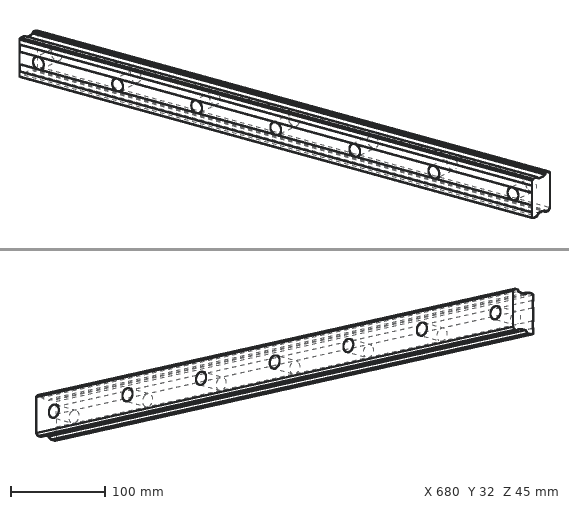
import cadquery as cq

length = 680.0
height = 32.0
width = 45.0
half_width = width / 2
base_y = -height / 2
head_y = height / 2

side_groove_depth = 3.0
neck_bottom = base_y + 12.0
neck_top = head_y - 13.0
base_shoulder = base_y + 9.0
head_shoulder = head_y - 7.5
undercut_top = head_y - 9.0
undercut_depth = 1.7

base_chamfer_height = 2.0
base_chamfer_width = 1.5
head_chamfer = 3.0
head_corner_inset = 1.2

relief_inner = 14.0 / 2
relief_outer = 30.5 / 2
relief_depth = 0.4

hole_count = 7
hole_diameter = 14.0
end_margin = 25.0
hole_pitch = (length - 2 * end_margin) / (hole_count - 1)


def make_rail():
    """Extrude the rail section, mirrored about its middle plane, along X."""
    neck_z = half_width - side_groove_depth
    half_section = [
        (base_y, 0),
        (base_y, half_width - base_chamfer_width),
        (base_y + base_chamfer_height, half_width),
        (base_shoulder, half_width),
        (neck_bottom, neck_z),
        (neck_top, neck_z),
        (undercut_top, half_width - undercut_depth),
        (head_shoulder, half_width),
        (head_y - head_chamfer, half_width),
        (head_y - head_corner_inset, half_width - head_corner_inset),
        (head_y, half_width - head_chamfer),
        (head_y, 0),
    ]
    mirrored_half = [(y, -z) for y, z in reversed(half_section[1:-1])]
    section = cq.Workplane("YZ").polyline(half_section + mirrored_half).close()
    return section.extrude(length / 2, both=True)


def make_relief_groove(side):
    """Full-length groove in the base, on the +Z (1) or -Z (-1) side."""
    groove_width = relief_outer - relief_inner
    groove_z = side * (relief_inner + relief_outer) / 2
    groove = cq.Workplane("XY").box(length, 2 * relief_depth, groove_width)
    return groove.translate((0, base_y, groove_z))


def make_mounting_holes():
    """Row of plain holes through the full height of the rail."""
    row = cq.Workplane("XZ").rarray(hole_pitch, 7, hole_count, 1)
    return row.circle(hole_diameter / 2).extrude(height, both=True)


result = make_rail()
for side in (-1, 1):
    result = result.cut(make_relief_groove(side))
result = result.cut(make_mounting_holes())